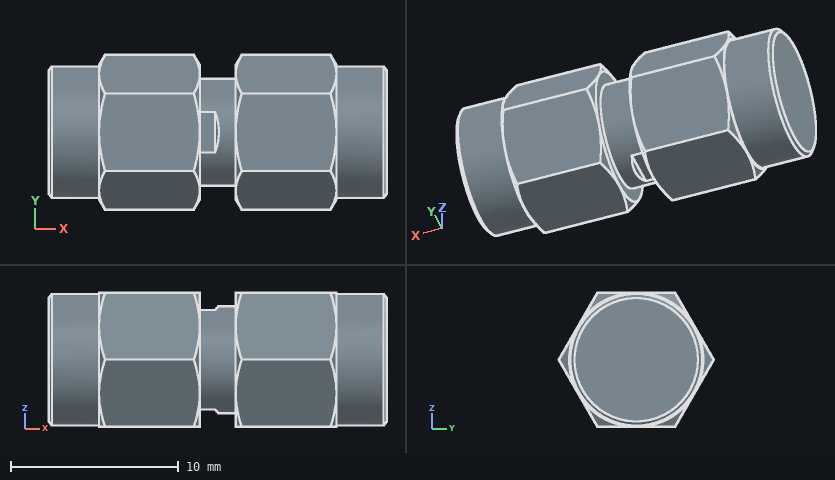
import cadquery as cq
import math

TOTAL_LENGTH = 20.14
BARREL_LENGTH = 3.0
NUT_LENGTH = 6.0
NECK_LENGTH = TOTAL_LENGTH - 2 * (BARREL_LENGTH + NUT_LENGTH)

BARREL_DIAMETER = 7.85
RIM_CHAMFER_AXIAL = 0.2
RIM_CHAMFER_RADIAL = 0.25

NUT_ACROSS_FLATS = 8.0
NUT_CORNER_RADIUS = NUT_ACROSS_FLATS / math.sqrt(3)
NUT_FACE_RADIUS = NUT_ACROSS_FLATS / 2
NUT_BEVEL_ANGLE = 30.0
NUT_ENVELOPE_MARGIN = 0.1

NECK_DIAMETER = 6.4
NECK_ACROSS_FLATS = 5.94
FLAT_LENGTH = 0.91
FLAT_DEPTH = (NECK_DIAMETER - NECK_ACROSS_FLATS) / 2


def make_body():
    """Round body: a barrel from end to end, both rims chamfered, reduced to the neck at mid-length."""
    half_length = TOTAL_LENGTH / 2
    half_neck = NECK_LENGTH / 2
    barrel_radius = BARREL_DIAMETER / 2
    neck_radius = NECK_DIAMETER / 2
    rim_radius = barrel_radius - RIM_CHAMFER_RADIAL
    rim_x = half_length - RIM_CHAMFER_AXIAL
    profile = [
        (-half_length, 0),
        (-half_length, rim_radius),
        (-rim_x, barrel_radius),
        (-half_neck, barrel_radius),
        (-half_neck, neck_radius),
        (half_neck, neck_radius),
        (half_neck, barrel_radius),
        (rim_x, barrel_radius),
        (half_length, rim_radius),
        (half_length, 0),
    ]
    return cq.Workplane("XY").polyline(profile).close().revolve(360, (0, 0, 0), (1, 0, 0))


def make_nut(x_center):
    """Hexagonal nut whose corners are cut by a conical bevel at both ends."""
    half_length = NUT_LENGTH / 2
    hexagon = (
        cq.Workplane("YZ")
        .polygon(6, 2 * NUT_CORNER_RADIUS)
        .extrude(half_length, both=True)
    )
    envelope_radius = NUT_CORNER_RADIUS + NUT_ENVELOPE_MARGIN
    bevel_length = (envelope_radius - NUT_FACE_RADIUS) * math.tan(math.radians(NUT_BEVEL_ANGLE))
    envelope_profile = [
        (-half_length, 0),
        (-half_length, NUT_FACE_RADIUS),
        (-half_length + bevel_length, envelope_radius),
        (half_length - bevel_length, envelope_radius),
        (half_length, NUT_FACE_RADIUS),
        (half_length, 0),
    ]
    envelope = (
        cq.Workplane("XY")
        .polyline(envelope_profile)
        .close()
        .revolve(360, (0, 0, 0), (1, 0, 0))
    )
    return hexagon.intersect(envelope).translate((x_center, 0, 0))


def make_flat_cutter(side):
    """Material above one neck flat (side +1 is +Z, -1 is -Z), ending in a 45 degree ramp."""
    start_x = -NECK_LENGTH / 2
    ramp_x = start_x + FLAT_LENGTH
    flat_z = NECK_ACROSS_FLATS / 2
    neck_z = NECK_DIAMETER / 2
    cutter_profile = [
        (start_x, side * flat_z),
        (ramp_x, side * flat_z),
        (ramp_x + FLAT_DEPTH, side * neck_z),
        (start_x, side * neck_z),
    ]
    return (
        cq.Workplane("XZ")
        .polyline(cutter_profile)
        .close()
        .extrude(NECK_DIAMETER / 2, both=True)
    )


result = make_body()
for flat_side in (1, -1):
    result = result.cut(make_flat_cutter(flat_side))

nut_offset = (NECK_LENGTH + NUT_LENGTH) / 2
for nut_x in (-nut_offset, nut_offset):
    result = result.union(make_nut(nut_x))